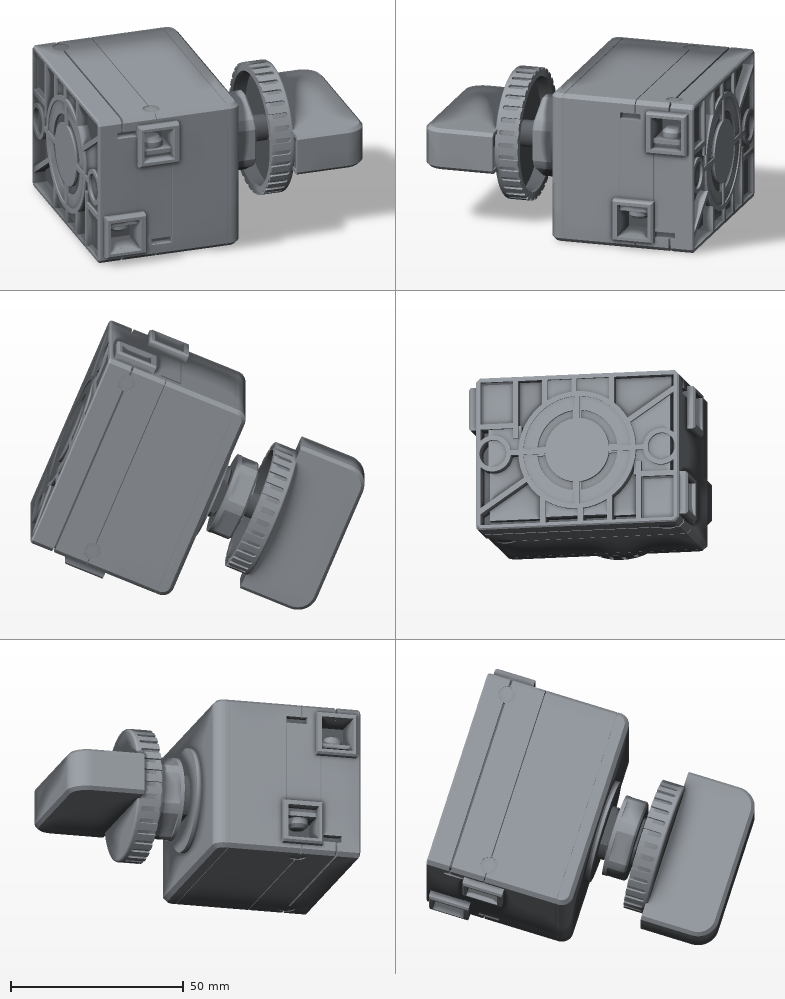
import cadquery as cq
import math


OVERLAP = 0.85

BODY_X = 60.2
BODY_Y = 43.8
BODY_Z = 45.0
BODY_CORNER_R = 3.4
BODY_CHAMFER = 1.2
BASE_CHAMFER = 0.4

CAVITY_X = 57.3
CAVITY_Z = 42.3
CAVITY_DEPTH = 3.0
SHALLOW_DEPTH = 0.85
CORNER_POCKET_DEPTH = 1.5
CORNER_POCKET_CHAMFER = 0.5
RIB = 1.5
UPRIGHT_RIB_X = [-18.3, -9.6, -0.9, 10.2]
SHELF_RIB_Z = 8.0
STEP_RIB_Z = 4.2
DIAGONAL_START = (14.9, 7.9)
DIAGONAL_END = (29.3, 17.4)
HUB_R = 17.4
CHANNEL_R = 16.0
CHANNEL_DEPTH = 0.3
CORE_R = 9.4
ARC_SLOT_R = 11.9
ARC_SLOT_DEPTH = 1.0
SPOKE_GAP = 2.55
SCREW_HOLE_X = 25.0
SCREW_HOLE_R = 4.0
SCREW_BOSS_R = 5.35
GAP_DEPTH = 5.4
LEFT_GAP = 2.1
RIGHT_GAP = 1.2
BOTTOM_GAP = 1.8

REAR_SEAM_Y = 17.7
FRONT_SEAM_Y = 7.2
LID_SEAM_Y = 39.5
REAR_SEAM_W = 0.25
FRONT_SEAM_W = 0.6
LID_SEAM_W = 0.2
SEAM_DEPTH = 1.2
LINE_DEPTH = 0.2
PLUG_X = 25.2
PLUG_R = 2.5
PLUG_RECESS = 0.25

SLOT_Z = 17.6
SLOT_H = 1.95
SLOT_L = 6.3
SLOT_DEPTH = 2.55
MID_LAYER_FRONT = 11.9
MID_LAYER_REAR = 22.35

OVERALL_X = 65.0
TERMINAL_REACH = OVERALL_X / 2
TERMINAL_Z = 13.7
TERMINAL_H = 12.7
TERMINAL_W = 12.15
TERMINAL_CHAMFER = 0.6
OPENING_W = 9.35
OPENING_INNER_Z = 8.8
OPENING_OUTER_Z = 18.6
OPENING_DEPTH = 11.5
PLATE_SETBACK = 3.0
SUPPORT_SETBACK = 3.8
PLATE_Z = 10.0
PLATE_T = 1.3
SCREW_R = 3.15
SCREW_H = 2.8
SCREW_CHAMFER = 1.0
FRONT_TERMINAL_Y = 7.6
REAR_TERMINAL_Y = 17.8

WASHER_R = 15.2
WASHER_TOP = 45.2
BARREL_R = 7.9
COLLAR_TOP = 47.1
BARREL_TOP = 55.7
BARREL_FLATS = 11.9
THREAD_PITCH = 0.9
THREAD_HEIGHT = 0.7
THREAD_COUNT = 8
NUT_BOTTOM = 48.0
NUT_FLANGE_T = 1.2
NUT_TOP = 55.0
NUT_R = 12.1
NUT_FLATS = 22.3
NUT_CHAMFER = 0.6
SHAFT_R = 3.9

KNOB_BOTTOM = 56.9
KNOB_TOP = 63.9
KNOB_R = 19.5
KNOB_FILLET = 0.8
KNOB_CAVITY_R = 17.0
KNOB_CAVITY_DEPTH = 4.25
FLUTES = 33
FIRST_FLUTE_ANGLE = 90
FLUTE_W = 1.45
FLUTE_DEPTH = 0.7
FLUTE_TOP = 62.6
GRIP_X = 46.5
GRIP_Z = 12.4
GRIP_BOTTOM = 63.2
GRIP_TOP = 85.0
GRIP_CORNER_R = 6.1
GRIP_CHAMFER = 1.0
GRIP_WALL = 1.2
GRIP_HOLLOW = 6.8


def block(x0, x1, y0, y1, z0, z1):
    """Box between two limits along each axis."""
    return cq.Workplane("XY").box(x1 - x0, y1 - y0, z1 - z0, centered=False).translate((x0, y0, z0))


def disc(radius, y0, y1, x=0.0, z=0.0):
    """Cylinder along Y."""
    plane = cq.Workplane("XZ", origin=(x, y0, z))
    return plane.circle(radius).extrude(y0 - y1)


def half_turn(shape):
    """Copy of a shape turned half way round the switch axis."""
    return shape.rotate((0, 0, 0), (0, 1, 0), 180)


def both(shape):
    """A shape together with its half-turn copy."""
    return shape.union(half_turn(shape))


def make_housing():
    """Block with rounded rear corners and chamfered long edges."""
    spare = 2 * BODY_CHAMFER
    blank = block(-BODY_X / 2, BODY_X / 2, -spare, BODY_Y, -BODY_Z / 2, BODY_Z / 2)
    blank = blank.edges("|Z and >Y").fillet(BODY_CORNER_R)
    blank = blank.faces(">Z or <Z").edges().chamfer(BODY_CHAMFER)
    housing = blank.intersect(block(-BODY_X, BODY_X, 0, BODY_Y, -BODY_Z, BODY_Z))
    return housing.faces("<Y").edges().chamfer(BASE_CHAMFER)


def make_ribs():
    """Half of the rib pattern left standing in the base cavity."""
    half_x = CAVITY_X / 2
    half_z = CAVITY_Z / 2
    ribs = disc(SCREW_BOSS_R, 0, GAP_DEPTH, SCREW_HOLE_X)
    ribs = ribs.union(block(0, SCREW_HOLE_X, 0, GAP_DEPTH, -RIB / 2, RIB / 2))
    for x in UPRIGHT_RIB_X:
        ribs = ribs.union(block(x - RIB / 2, x + RIB / 2, 0, GAP_DEPTH, STEP_RIB_Z, half_z))
    corner_x = UPRIGHT_RIB_X[0] + RIB / 2
    ribs = ribs.union(block(-half_x, corner_x, 0, GAP_DEPTH, SHELF_RIB_Z - RIB / 2, half_z))
    dx = DIAGONAL_END[0] - DIAGONAL_START[0]
    dz = DIAGONAL_END[1] - DIAGONAL_START[1]
    middle_x = (DIAGONAL_START[0] + DIAGONAL_END[0]) / 2
    middle_z = (DIAGONAL_START[1] + DIAGONAL_END[1]) / 2
    diagonal = cq.Workplane("XY").box(math.hypot(dx, dz), GAP_DEPTH, RIB)
    diagonal = diagonal.rotate((0, 0, 0), (0, 1, 0), -math.degrees(math.atan2(dz, dx)))
    return ribs.union(diagonal.translate((middle_x, GAP_DEPTH / 2, middle_z)))


def make_shallow_zone():
    """Zone whose pockets stay shallow, as a solid from their floor down."""
    half_z = CAVITY_Z / 2
    left_x, left_middle_x, _, right_middle_x = UPRIGHT_RIB_X
    zone = block(left_middle_x, right_middle_x, SHALLOW_DEPTH, GAP_DEPTH, 0, half_z)
    zone = zone.union(block(-CAVITY_X / 2, left_x + RIB, SHALLOW_DEPTH, GAP_DEPTH, 0, SHELF_RIB_Z))
    zone = both(zone).union(both(disc(SCREW_HOLE_R, SHALLOW_DEPTH, GAP_DEPTH, SCREW_HOLE_X)))
    below_diagonal = [(0, 0), (DIAGONAL_END[0], 0), DIAGONAL_END, DIAGONAL_START]
    plane = cq.Workplane("XZ", origin=(0, SHALLOW_DEPTH, 0))
    return zone.union(plane.polyline(below_diagonal).close().extrude(SHALLOW_DEPTH - GAP_DEPTH))


def make_base_cut():
    """Everything hollowed out of the base face."""
    half_x = CAVITY_X / 2
    half_z = CAVITY_Z / 2
    pockets = block(-half_x, half_x, 0, GAP_DEPTH, -half_z, half_z)
    pockets = pockets.cut(both(make_ribs())).cut(disc(HUB_R, 0, GAP_DEPTH))
    pockets = pockets.union(both(disc(SCREW_HOLE_R, 0, GAP_DEPTH, SCREW_HOLE_X)))
    gaps = block(-half_x - RIB, LEFT_GAP - half_x, 0, GAP_DEPTH, -half_z, half_z)
    gaps = gaps.union(block(half_x - RIGHT_GAP, half_x + RIB, 0, GAP_DEPTH, -half_z, half_z))
    gaps = gaps.union(block(-half_x, half_x, 0, GAP_DEPTH, -half_z, BOTTOM_GAP - half_z))
    cut = pockets.intersect(block(-BODY_X, BODY_X, 0, CAVITY_DEPTH, -BODY_Z, BODY_Z))
    cut = cut.cut(make_shallow_zone()).union(pockets.intersect(gaps))
    pocket_x = UPRIGHT_RIB_X[0] - RIB / 2
    pocket_z = SHELF_RIB_Z + RIB / 2
    corner_pocket = block(-half_x, pocket_x, 0, CORNER_POCKET_DEPTH, pocket_z, half_z)
    cut = cut.union(both(corner_pocket.faces(">Y").edges().chamfer(CORNER_POCKET_CHAMFER)))
    channel = disc(CHANNEL_R, 0, CHANNEL_DEPTH).cut(disc(CORE_R, 0, CHANNEL_DEPTH))
    slots = disc(ARC_SLOT_R, 0, ARC_SLOT_DEPTH).cut(disc(CORE_R, 0, ARC_SLOT_DEPTH))
    for ring_cut, gap in ((channel, RIB), (slots, SPOKE_GAP)):
        upright = block(-gap / 2, gap / 2, 0, BODY_Y, -HUB_R, HUB_R)
        level = block(-HUB_R, HUB_R, 0, BODY_Y, -gap / 2, gap / 2)
        cut = cut.union(ring_cut.cut(upright).cut(level))
    return cut


def seam_ring(y, width, depth):
    """Groove running all the way round the housing at height y."""
    outer = block(-BODY_X / 2, BODY_X / 2, y - width / 2, y + width / 2, -BODY_Z / 2, BODY_Z / 2)
    inset = cq.Workplane("XY").box(BODY_X - 2 * depth, BODY_Y, BODY_Z - 2 * depth)
    inset = inset.edges("|Y").chamfer(BODY_CHAMFER - depth * (2 - math.sqrt(2)))
    return outer.cut(inset.translate((0, y, 0)))


def side_slot(rear_y):
    """Upper slot in the -X wall, with the seam line that runs along Z from its rear end."""
    wall = -BODY_X / 2
    line_z = SLOT_Z - SLOT_H / 2
    half_w = REAR_SEAM_W / 2
    slot = block(
        wall, wall + SLOT_DEPTH,
        rear_y - SLOT_L, rear_y,
        line_z, line_z + SLOT_H,
    )
    return slot.union(block(wall, wall + LINE_DEPTH, rear_y - half_w, rear_y + half_w, -line_z, line_z))


def make_seam_cut():
    """Seams between the layers, with the stepped lines on the side walls."""
    slot_edge = SLOT_Z - SLOT_H / 2
    seams = seam_ring(REAR_SEAM_Y, REAR_SEAM_W, SEAM_DEPTH)
    seams = seams.union(seam_ring(FRONT_SEAM_Y, FRONT_SEAM_W, SEAM_DEPTH))
    seams = seams.cut(block(-BODY_X, BODY_X, 0, BODY_Y, -slot_edge, slot_edge))
    seams = seams.union(seam_ring(LID_SEAM_Y, LID_SEAM_W, LINE_DEPTH))
    rear_step = side_slot(MID_LAYER_REAR)
    front_step = side_slot(MID_LAYER_FRONT).mirror("XY")
    return seams.union(both(rear_step.union(front_step)))


def plug_discs(top, height):
    """Round discs over the seams of the upper and lower faces, from the level top inwards."""
    rear = cq.Workplane("XY", origin=(PLUG_X, REAR_SEAM_Y, top)).circle(PLUG_R).extrude(-height)
    front = cq.Workplane("XY", origin=(-PLUG_X, FRONT_SEAM_Y, top)).circle(PLUG_R).extrude(-height)
    return both(rear.union(front))


def terminal_frame(y):
    """Raised frame of the upper terminal on the -X wall."""
    frame = block(
        -TERMINAL_REACH, OVERLAP - BODY_X / 2,
        y - TERMINAL_W / 2, y + TERMINAL_W / 2,
        TERMINAL_Z - TERMINAL_H / 2, TERMINAL_Z + TERMINAL_H / 2,
    )
    return frame.faces("<X").edges("not >Y").chamfer(TERMINAL_CHAMFER)


def terminal_opening(y):
    """Opening of that terminal, leaving its clamp plate, support and screw standing."""
    back = OPENING_DEPTH - TERMINAL_REACH
    plate_x = PLATE_SETBACK - TERMINAL_REACH
    opening = block(
        -TERMINAL_REACH, back,
        y - OPENING_W / 2, y + OPENING_W / 2,
        OPENING_INNER_Z, OPENING_OUTER_Z,
    )
    plate = block(
        plate_x, back,
        y - OPENING_W / 2, y + OPENING_W / 2,
        PLATE_Z, PLATE_Z + PLATE_T,
    )
    support = block(
        SUPPORT_SETBACK - TERMINAL_REACH, back,
        y - OPENING_W / 2, y + OPENING_W / 2,
        OPENING_INNER_Z, PLATE_Z,
    )
    screw_seat = cq.Workplane("XY", origin=((plate_x + back) / 2, y, PLATE_Z + PLATE_T))
    screw = screw_seat.circle(SCREW_R).extrude(SCREW_H)
    screw = screw.faces(">Z").chamfer(SCREW_CHAMFER)
    return opening.cut(plate).cut(support).cut(screw)


def terminal_set(make):
    """The four terminals: one front and one rear on each side wall."""
    return both(make(FRONT_TERMINAL_Y).union(make(REAR_TERMINAL_Y).mirror("XY")))


def make_barrel():
    """Barrel with two flats: a plain collar, then a thread as a stack of ridges."""
    core_r = BARREL_R - THREAD_HEIGHT
    foot_y = BODY_Y - OVERLAP
    outline = [(0, foot_y), (BARREL_R, foot_y), (BARREL_R, COLLAR_TOP), (core_r, COLLAR_TOP)]
    for i in range(THREAD_COUNT):
        foot = COLLAR_TOP + i * THREAD_PITCH
        outline.append((BARREL_R, foot + THREAD_PITCH / 2))
        outline.append((core_r, foot + THREAD_PITCH))
    outline += [(core_r, BARREL_TOP), (0, BARREL_TOP)]
    barrel = cq.Workplane("XY").polyline(outline).close().revolve(360, (0, 0, 0), (0, 1, 0))
    half_flats = BARREL_FLATS / 2
    return barrel.intersect(block(-BARREL_R, BARREL_R, 0, BARREL_TOP, -half_flats, half_flats))


def make_nut():
    """Flanged hex nut with its rounded corners pointing along Z."""
    flange_top = NUT_BOTTOM + NUT_FLANGE_T
    plane = cq.Workplane("XZ", origin=(0, NUT_BOTTOM, 0))
    across_corners = NUT_FLATS / math.cos(math.pi / 6)
    hexagon = plane.transformed(rotate=(0, 0, 90)).polygon(6, across_corners).extrude(NUT_BOTTOM - NUT_TOP)
    hexagon = hexagon.faces(">Y").edges().chamfer(NUT_CHAMFER)
    rounding = disc(NUT_R, NUT_BOTTOM, NUT_TOP).faces(">Y").chamfer(NUT_CHAMFER)
    return hexagon.intersect(rounding).union(disc(NUT_R, NUT_BOTTOM, flange_top))


def make_fluted_disc():
    """Knob skirt with round-topped flutes, hollow underneath."""
    skirt = disc(KNOB_R, KNOB_BOTTOM, KNOB_TOP).faces(">Y").edges().fillet(KNOB_FILLET)
    flute = block(
        -FLUTE_W / 2, FLUTE_W / 2,
        KNOB_BOTTOM, FLUTE_TOP - FLUTE_W / 2,
        KNOB_R - FLUTE_DEPTH, KNOB_R + FLUTE_DEPTH,
    )
    flute_end = cq.Workplane("XY", origin=(0, FLUTE_TOP - FLUTE_W / 2, KNOB_R - FLUTE_DEPTH))
    flute = flute.union(flute_end.circle(FLUTE_W / 2).extrude(2 * FLUTE_DEPTH))
    for i in range(FLUTES):
        angle = FIRST_FLUTE_ANGLE + i * 360 / FLUTES
        skirt = skirt.cut(flute.rotate((0, 0, 0), (0, 1, 0), angle))
    return skirt.cut(disc(KNOB_CAVITY_R, KNOB_BOTTOM, KNOB_BOTTOM + KNOB_CAVITY_DEPTH))


def make_grip():
    """Bar grip, hollow where it overhangs the skirt."""
    half_x = GRIP_X / 2
    half_z = GRIP_Z / 2
    spare = 2 * GRIP_CHAMFER
    grip = block(-half_x, half_x, GRIP_BOTTOM - spare, GRIP_TOP, -half_z, half_z)
    grip = grip.edges("|Z and >Y").fillet(GRIP_CORNER_R)
    grip = grip.faces(">Z or <Z").edges().chamfer(GRIP_CHAMFER)
    grip = grip.intersect(block(-half_x, half_x, GRIP_BOTTOM, GRIP_TOP, -half_z, half_z))
    inner_x = half_x - GRIP_WALL
    inner_z = half_z - GRIP_WALL
    hollow = block(-inner_x, inner_x, GRIP_BOTTOM, GRIP_BOTTOM + GRIP_HOLLOW, -inner_z, inner_z)
    return grip.cut(hollow)


housing = make_housing().cut(make_base_cut()).cut(make_seam_cut())
housing = housing.cut(plug_discs(BODY_Z / 2, PLUG_RECESS))
housing = housing.union(plug_discs(BODY_Z / 2 - PLUG_RECESS, SEAM_DEPTH))
housing = housing.union(terminal_set(terminal_frame)).cut(terminal_set(terminal_opening))

mounting = disc(WASHER_R, BODY_Y - OVERLAP, WASHER_TOP).union(make_barrel()).union(make_nut())
shaft = disc(SHAFT_R, BARREL_TOP - OVERLAP, KNOB_TOP)
knob = make_fluted_disc().union(make_grip())

result = housing.union(mounting).union(shaft).union(knob)